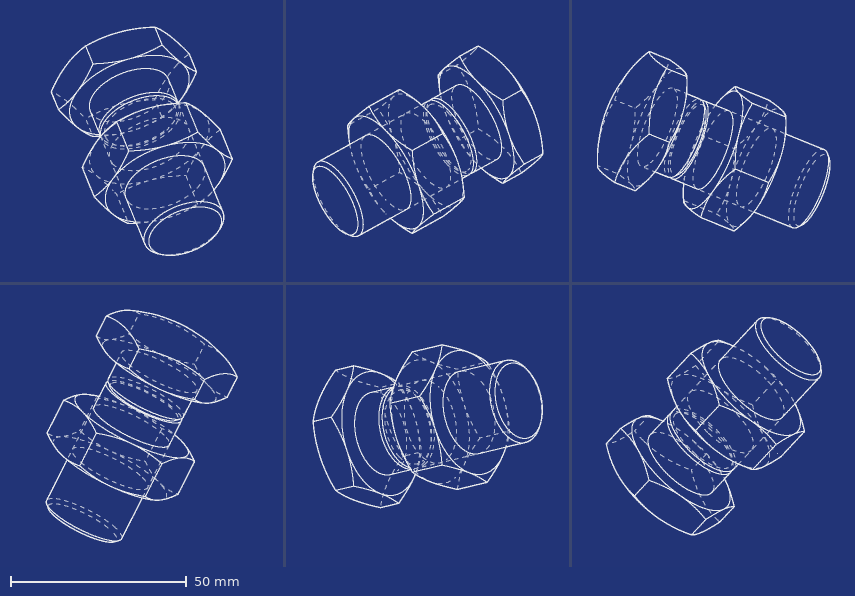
import cadquery as cq
import math

TOTAL_LENGTH = 64.0
ACROSS_FLATS = 36.0
ACROSS_CORNERS = ACROSS_FLATS / math.cos(math.radians(30))
HEX_CHAMFER_ANGLE = 30.0

HEAD_LENGTH = 14.0
DOME_RADIUS = 40.0
SHANK_RADIUS = 12.0
GROOVE_START = 22.8
GROOVE_WIDTH = 1.2
GROOVE_DEPTH = 1.2
END_CHAMFER = 1.1

NUT_START = 32.0
NUT_LENGTH = 14.0

FLAT_RADIUS = ACROSS_FLATS / 2
CORNER_RADIUS = ACROSS_CORNERS / 2
CHAMFER_LENGTH = (CORNER_RADIUS - FLAT_RADIUS) * math.tan(math.radians(HEX_CHAMFER_ANGLE))


def revolve_about_x(profile):
    """Turn an XY profile fully around the X axis."""
    return profile.revolve(360, (0, 0, 0), (1, 0, 0))


def hex_prism(start, length):
    """Hexagonal bar along X with corners on +Y and -Y and flats on +Z and -Z."""
    return cq.Workplane("YZ", origin=(start, 0, 0)).polygon(6, ACROSS_CORNERS).extrude(length)


def make_head():
    """Hexagon with a spherical front and chamfered corners at the back."""
    corner_sag = DOME_RADIUS - math.sqrt(DOME_RADIUS**2 - CORNER_RADIUS**2)
    half_corner_radius = CORNER_RADIUS / 2
    half_corner_sag = DOME_RADIUS - math.sqrt(DOME_RADIUS**2 - half_corner_radius**2)
    envelope = revolve_about_x(
        cq.Workplane("XY")
        .moveTo(0, 0)
        .threePointArc((half_corner_sag, half_corner_radius), (corner_sag, CORNER_RADIUS))
        .lineTo(HEAD_LENGTH - CHAMFER_LENGTH, CORNER_RADIUS)
        .lineTo(HEAD_LENGTH, FLAT_RADIUS)
        .lineTo(HEAD_LENGTH, 0)
        .close()
    )
    return hex_prism(0, HEAD_LENGTH).intersect(envelope)


def make_shank():
    """Round shank with a one-sided tapered groove and a chamfered end."""
    groove_end = GROOVE_START + GROOVE_WIDTH
    return revolve_about_x(
        cq.Workplane("XY")
        .moveTo(HEAD_LENGTH, 0)
        .lineTo(HEAD_LENGTH, SHANK_RADIUS)
        .lineTo(GROOVE_START, SHANK_RADIUS)
        .lineTo(groove_end, SHANK_RADIUS - GROOVE_DEPTH)
        .lineTo(groove_end, SHANK_RADIUS)
        .lineTo(TOTAL_LENGTH - END_CHAMFER, SHANK_RADIUS)
        .lineTo(TOTAL_LENGTH, SHANK_RADIUS - END_CHAMFER)
        .lineTo(TOTAL_LENGTH, 0)
        .close()
    )


def make_bolt():
    """Head and shank as one solid."""
    return make_head().union(make_shank())


def make_nut():
    """Hexagon nut, corners chamfered on both faces, bored to fit the shank."""
    nut_end = NUT_START + NUT_LENGTH
    envelope = revolve_about_x(
        cq.Workplane("XY")
        .moveTo(NUT_START, SHANK_RADIUS)
        .lineTo(NUT_START, FLAT_RADIUS)
        .lineTo(NUT_START + CHAMFER_LENGTH, CORNER_RADIUS)
        .lineTo(nut_end - CHAMFER_LENGTH, CORNER_RADIUS)
        .lineTo(nut_end, FLAT_RADIUS)
        .lineTo(nut_end, SHANK_RADIUS)
        .close()
    )
    return hex_prism(NUT_START, NUT_LENGTH).intersect(envelope)


bolt = make_bolt()
nut = make_nut()

result = cq.Compound.makeCompound([bolt.solids().val(), nut.solids().val()])